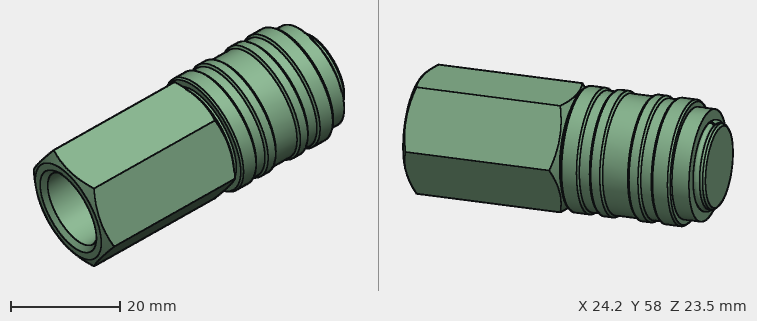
import cadquery as cq
import math

length = 58.0

hex_flats = 21.0
hex_length = 30.5
hex_end_radius = 9.9
hex_chamfer_angle = 30.0
hex_corner_radius = hex_flats / math.sqrt(3)

bore_radius = 7.5
bore_mouth_radius = 8.45
bore_chamfer = bore_mouth_radius - bore_radius
bore_depth = 20.3

neck_radius = 10.1
sleeve_radius = 11.3
band_radius = 11.745
band_chamfer = 0.4
sleeve_end_radius = 11.4
sleeve_start = 31.1
sleeve_end = 52.5
wide_band_width = 3.7
narrow_band_width = 2.55
lower_narrow_band_start = 36.8
upper_narrow_band_start = 44.2

shoulder_radius = 10.45
shoulder_end = 55.8
nose_radius = 8.0
nose_chamfer = 0.4

ring_wire_radius = 0.65
ring_centre_radius = 7.9
ring_position = 56.4
ring_gap = 0.45


def cylinder(radius, start, end):
    """Solid cylinder along Y between two stations."""
    return cq.Workplane("XZ", origin=(0, start, 0)).circle(radius).extrude(start - end)


def revolve_about_y(points):
    """Solid of revolution about Y from (radius, Y) points."""
    return cq.Workplane("XY").polyline(points).close().revolve(360, (0, 0), (0, 1))


def make_hex():
    """Hexagonal prism with corners on X and both ends turned to a cone."""
    prism = cq.Workplane("XZ").polygon(6, 2 * hex_corner_radius).extrude(-hex_length)
    cone_height = (hex_corner_radius - hex_end_radius) * math.tan(math.radians(hex_chamfer_angle))
    turned_envelope = revolve_about_y([
        (0, 0),
        (hex_end_radius, 0),
        (hex_corner_radius, cone_height),
        (hex_corner_radius, hex_length - cone_height),
        (hex_end_radius, hex_length),
        (0, hex_length),
    ])
    return prism.intersect(turned_envelope)


def make_band(start, width, start_radius=sleeve_radius, end_radius=sleeve_radius):
    """Raised band with a bevel down to the given radius at each side."""
    end = start + width
    return revolve_about_y([
        (0, start),
        (start_radius, start),
        (band_radius, start + band_chamfer),
        (band_radius, end - band_chamfer),
        (end_radius, end),
        (0, end),
    ])


def make_sleeve():
    """Grooved grip sleeve made of a core and its bands."""
    lower_band = make_band(sleeve_start, wide_band_width, start_radius=sleeve_end_radius)
    upper_band = make_band(sleeve_end - wide_band_width, wide_band_width, end_radius=sleeve_end_radius)
    core = cylinder(sleeve_radius, sleeve_start + band_chamfer, sleeve_end - band_chamfer)
    sleeve = core.union(lower_band).union(upper_band)
    for start in (lower_narrow_band_start, upper_narrow_band_start):
        sleeve = sleeve.union(make_band(start, narrow_band_width))
    return sleeve


def make_bore():
    """Blind bore with a 45 degree chamfer at its mouth."""
    return revolve_about_y([
        (0, 0),
        (bore_mouth_radius, 0),
        (bore_radius, bore_chamfer),
        (bore_radius, bore_depth),
        (0, bore_depth),
    ])


def make_ring_torus():
    """Full round-wire ring, which also shapes the groove it sits in."""
    return (
        cq.Workplane("XY")
        .center(ring_centre_radius, ring_position)
        .circle(ring_wire_radius)
        .revolve(360, (-ring_centre_radius, 0), (-ring_centre_radius, 1))
    )


def make_coupling():
    neck = cylinder(neck_radius, hex_length, sleeve_start)
    shoulder = cylinder(shoulder_radius, sleeve_end, shoulder_end)
    nose = cylinder(nose_radius, shoulder_end, length).faces(">Y").chamfer(nose_chamfer)
    coupling = make_hex().union(neck).union(make_sleeve()).union(shoulder).union(nose)
    return coupling.cut(make_bore()).cut(make_ring_torus())


def make_snap_ring():
    """Ring opened by a narrow gap on its +Z side."""
    gap_height = ring_centre_radius + 2 * ring_wire_radius
    gap_cutter = (
        cq.Workplane("XY", origin=(0, ring_position, 0))
        .rect(ring_gap, 4 * ring_wire_radius)
        .extrude(gap_height)
    )
    return make_ring_torus().cut(gap_cutter)


coupling = make_coupling()
snap_ring = make_snap_ring()

result = cq.Compound.makeCompound([coupling.val(), snap_ring.val()])